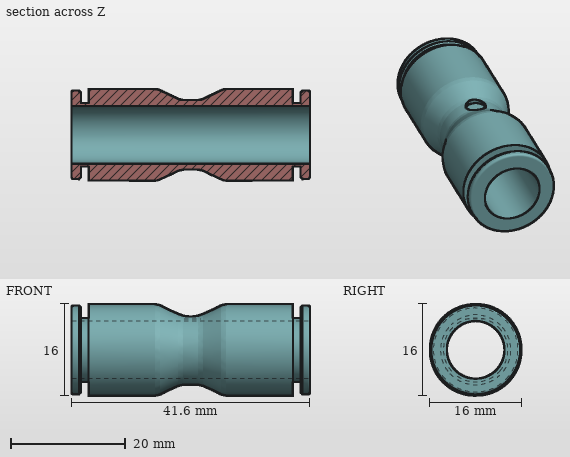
import cadquery as cq

overall_length = 41.6
bore_radius = 5.0

body_length = 35.6
body_radius = 8.0
waist_radius = 6.1
waist_length = 3.5
waist_and_cones_length = 11.5
cone_blend_radius = 2.0

collar_width = 1.7
collar_radius = 7.75
collar_outer_fillet = 0.4
collar_inner_chamfer = 0.4
sleeve_radius = 5.6

badge_radius = 1.75
badge_floor_height = 5.4


def cylinder_along_x(radius, length, start_x):
    return cq.Workplane("YZ", origin=(start_x, 0, 0)).circle(radius).extrude(length)


def make_body():
    end_x = body_length / 2
    cone_x = waist_and_cones_length / 2
    waist_x = waist_length / 2
    corner_limit = (end_x + cone_x) / 2
    profile = [
        (-end_x, 0),
        (-end_x, body_radius),
        (-cone_x, body_radius),
        (-waist_x, waist_radius),
        (waist_x, waist_radius),
        (cone_x, body_radius),
        (end_x, body_radius),
        (end_x, 0),
    ]
    body = cq.Workplane("XY").polyline(profile).close().revolve(360, (0, 0, 0), (1, 0, 0))
    corners = body.edges("%CIRCLE").edges(
        cq.selectors.BoxSelector(
            (-corner_limit, -body_radius, -body_radius),
            (corner_limit, body_radius, body_radius),
        )
    )
    return corners.fillet(cone_blend_radius)


def make_right_collar():
    outer_x = overall_length / 2
    flange = cylinder_along_x(collar_radius, collar_width, outer_x - collar_width)
    flange = flange.faces(">X").edges().fillet(collar_outer_fillet)
    flange = flange.faces("<X").edges().chamfer(collar_inner_chamfer)
    return flange


def cut_badge_recess(part):
    cutter = (
        cq.Workplane("XY", origin=(0, 0, badge_floor_height))
        .circle(badge_radius)
        .extrude(body_radius - badge_floor_height)
    )
    return part.cut(cutter)


right_collar = make_right_collar()
sleeve_length = overall_length - collar_width
sleeve = cylinder_along_x(sleeve_radius, sleeve_length, -sleeve_length / 2)
bore = cylinder_along_x(bore_radius, overall_length, -overall_length / 2)

result = make_body().union(sleeve).union(right_collar).union(right_collar.mirror("YZ"))
result = cut_badge_recess(result).cut(bore)